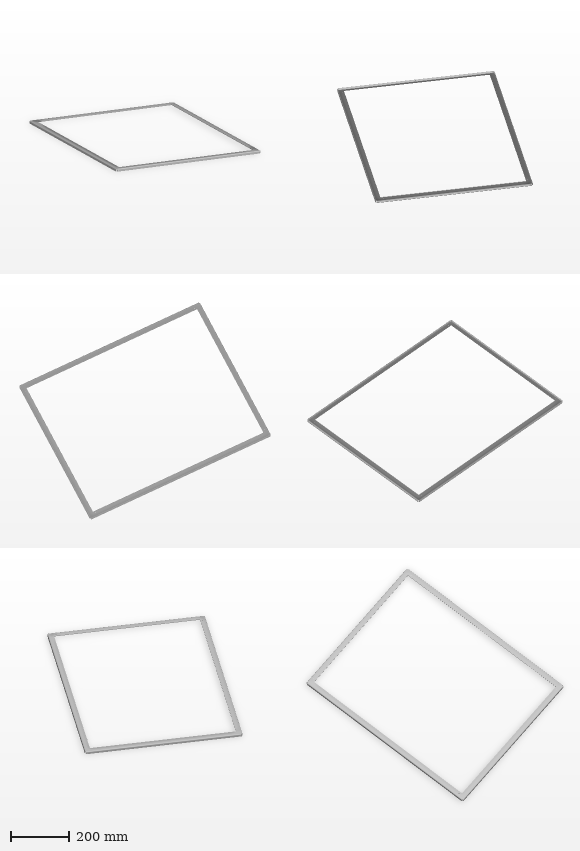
import cadquery as cq
import math

length = 693.0
width = 550.0
height = 10.0
short_bar = 19.5
long_bar = 20.0

sheet = 2.0
bend_radius = 3.2
flange_end_inset = 3.5

hole_diameter = 2.5
long_bar_hole_inset = 13.0
long_bar_hole_offset = 27.0
short_bar_hole_inset = 11.0
short_bar_hole_offset = 28.5

flange_hole_end_inset = 7.0
flange_hole_height = 4.0


def make_face():
    """Flat top sheet, ending where the bends begin, with its rectangular opening."""
    return (
        cq.Workplane("XY", origin=(0, 0, height - sheet))
        .rect(length - 2 * bend_radius, width - 2 * bend_radius)
        .rect(length - 2 * short_bar, width - 2 * long_bar)
        .extrude(sheet)
    )


def make_flange(span, side_length):
    """Bend and drilled, downturned flange on the +X side of a frame measuring span along X."""
    outer = span / 2
    bend_start = outer - bend_radius
    bend_bottom = height - bend_radius
    diagonal = math.sqrt(0.5)
    inner_radius = bend_radius - sheet
    flange_length = side_length - 2 * flange_end_inset
    profile = (
        cq.Workplane("XZ", origin=(0, flange_length / 2, 0))
        .moveTo(bend_start, height)
        .threePointArc(
            (bend_start + bend_radius * diagonal, bend_bottom + bend_radius * diagonal),
            (outer, bend_bottom),
        )
        .lineTo(outer, 0)
        .lineTo(outer - sheet, 0)
        .lineTo(outer - sheet, bend_bottom)
        .threePointArc(
            (bend_start + inner_radius * diagonal, bend_bottom + inner_radius * diagonal),
            (bend_start, height - sheet),
        )
        .close()
    )
    hole_reach = side_length / 2 - flange_hole_end_inset
    holes = (
        cq.Workplane("YZ", origin=(outer - sheet, 0, flange_hole_height))
        .pushPoints([(-hole_reach, 0), (0, 0), (hole_reach, 0)])
        .circle(hole_diameter / 2)
        .extrude(sheet)
    )
    return profile.extrude(flange_length).cut(holes)


def hole_positions():
    """Top hole centres, alternating between the bars and repeating after half a turn."""
    half_length = length / 2
    half_width = width / 2
    on_long_bar = (half_length - long_bar_hole_offset, -half_width + long_bar_hole_inset)
    on_short_bar = (half_length - short_bar_hole_inset, half_width - short_bar_hole_offset)
    positions = []
    for x, y in (on_long_bar, on_short_bar):
        positions += [(x, y), (-x, -y)]
    return positions


def make_holes():
    """Cutters for the holes through the top sheet."""
    return cq.Workplane("XY").pushPoints(hole_positions()).circle(hole_diameter / 2).extrude(height)


frame = make_face()
for turn in (0, 90, 180, 270):
    span, side_length = (length, width) if turn % 180 == 0 else (width, length)
    flange = make_flange(span, side_length)
    frame = frame.union(flange.rotate((0, 0, 0), (0, 0, 1), turn))

result = frame.cut(make_holes())